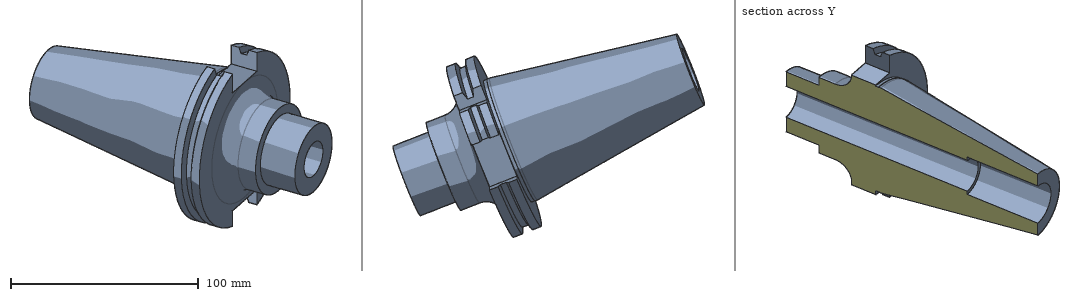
import cadquery as cq

length = 162.6
taper_end = 101.3
gauge_land_end = 102.8
flange_start = 104.7
flange_end = 120.5
collar_end = 141.5

taper_small_radius = 20.3
taper_large_radius = 35.0
neck_radius = 34.8
flange_radius = 48.8
collar_radius = 25.2
spigot_radius = 20.0
fillet_radius = 10.2

groove_start = 109.5
groove_end = 115.5
groove_depth = 3.3
groove_bevel = 1.3

through_radius = 10.1
entry_radius = 12.2
entry_depth = 45.5

slot_width = 26.0
top_slot_floor = 35.5
bottom_slot_floor = 37.4
notch_offset = 30.1

flange_width = flange_end - flange_start


def turned_body():
    """Revolve the outer half profile about X."""
    groove_radius = flange_radius - groove_depth
    return (
        cq.Workplane("XY")
        .lineTo(0, taper_small_radius)
        .lineTo(taper_end, taper_large_radius)
        .lineTo(gauge_land_end, taper_large_radius)
        .lineTo(gauge_land_end, neck_radius)
        .lineTo(flange_start, neck_radius)
        .lineTo(flange_start, flange_radius)
        .lineTo(groove_start, flange_radius)
        .lineTo(groove_start + groove_bevel, groove_radius)
        .lineTo(groove_end - groove_bevel, groove_radius)
        .lineTo(groove_end, flange_radius)
        .lineTo(flange_end, flange_radius)
        .lineTo(flange_end, collar_radius + fillet_radius)
        .radiusArc((flange_end + fillet_radius, collar_radius), -fillet_radius)
        .lineTo(collar_end, collar_radius)
        .lineTo(collar_end, spigot_radius)
        .lineTo(length, spigot_radius)
        .lineTo(length, 0)
        .close()
        .revolve(360, (0, 0, 0), (1, 0, 0))
    )


def bore(radius, depth):
    """Cylinder on the X axis, starting at the small end of the taper."""
    return cq.Workplane("YZ").circle(radius).extrude(depth)


def flange_cutter(y_min, y_max, z_min, z_max):
    """Box that spans the flange thickness between the given Y and Z limits."""
    return cq.Workplane("XY").box(
        flange_width, y_max - y_min, z_max - z_min, centered=False
    ).translate((flange_start, y_min, z_min))


half_slot = slot_width / 2
top_slot = flange_cutter(-half_slot, half_slot, top_slot_floor, flange_radius)
bottom_slot = flange_cutter(-half_slot, half_slot, -flange_radius, -bottom_slot_floor)
notch = flange_cutter(notch_offset, flange_radius, -flange_radius, -notch_offset)

result = (
    turned_body()
    .cut(bore(through_radius, length))
    .cut(bore(entry_radius, entry_depth))
    .cut(top_slot)
    .cut(bottom_slot)
    .cut(notch)
)